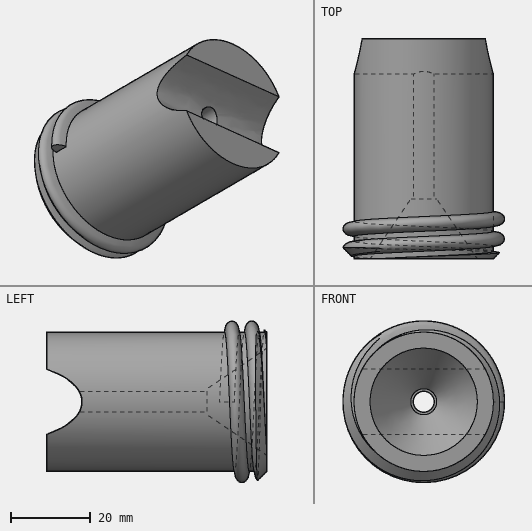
import cadquery as cq

body_radius = 34.95 / 2
body_length = 55.17

cavity_mouth_radius = 26.9 / 2
cavity_end_radius = 6.5 / 2
cavity_depth = 15.0
bore_radius = 5.2 / 2

thread_pitch = 5.0
thread_turns = 2.75
thread_end_y = 2 * thread_pitch
thread_start_y = thread_end_y - thread_pitch * thread_turns
thread_start_angle = 90
thread_height = 2.82
thread_half_width = 1.85
cone_seam_angle = -132

saddle_depth = 8.9
saddle_semi_length = 20.0
saddle_semi_height = 9.8


def make_body():
    return cq.Workplane("XZ").circle(body_radius).extrude(-body_length)


def make_thread():
    """Right-handed ridge, wound about Z and then turned to run along +Y."""
    path = cq.Wire.makeHelix(thread_pitch, thread_pitch * thread_turns, body_radius)
    ridge = (
        cq.Workplane("XZ")
        .center(body_radius, 0)
        .ellipse(thread_height, thread_half_width, rotation_angle=180)
        .sweep(cq.Workplane(path), isFrenet=True)
    )
    along_y = ridge.rotate((0, 0, 0), (1, 0, 0), -90).rotate((0, 0, 0), (0, 1, 0), thread_start_angle)
    return along_y.translate((0, thread_start_y, 0))


def make_thread_envelope():
    """Space the thread may fill, bounded by a 45 degree lead-in cone widening from the front rim."""
    outer_radius = body_radius + 2 * thread_height
    return (
        cq.Workplane("XY")
        .moveTo(0, 0)
        .lineTo(body_radius, 0)
        .lineTo(outer_radius, outer_radius - body_radius)
        .lineTo(outer_radius, body_length)
        .lineTo(0, body_length)
        .close()
        .revolve(360, (0, 0, 0), (0, 1, 0))
        .rotate((0, 0, 0), (0, 1, 0), cone_seam_angle)
    )


def make_bore():
    """Conical cavity narrowing to a small flat step, then a straight through hole."""
    return (
        cq.Workplane("XY")
        .moveTo(0, 0)
        .lineTo(cavity_mouth_radius, 0)
        .lineTo(cavity_end_radius, cavity_depth)
        .lineTo(bore_radius, cavity_depth)
        .lineTo(bore_radius, body_length)
        .lineTo(0, body_length)
        .close()
        .revolve(360, (0, 0, 0), (0, 1, 0))
    )


def make_saddle():
    center_y = body_length - saddle_depth + saddle_semi_length
    return (
        cq.Workplane("YZ")
        .center(center_y, 0)
        .ellipse(saddle_semi_length, saddle_semi_height)
        .extrude(body_radius, both=True)
    )


thread = make_thread().intersect(make_thread_envelope())
result = make_body().union(thread).cut(make_bore()).cut(make_saddle())